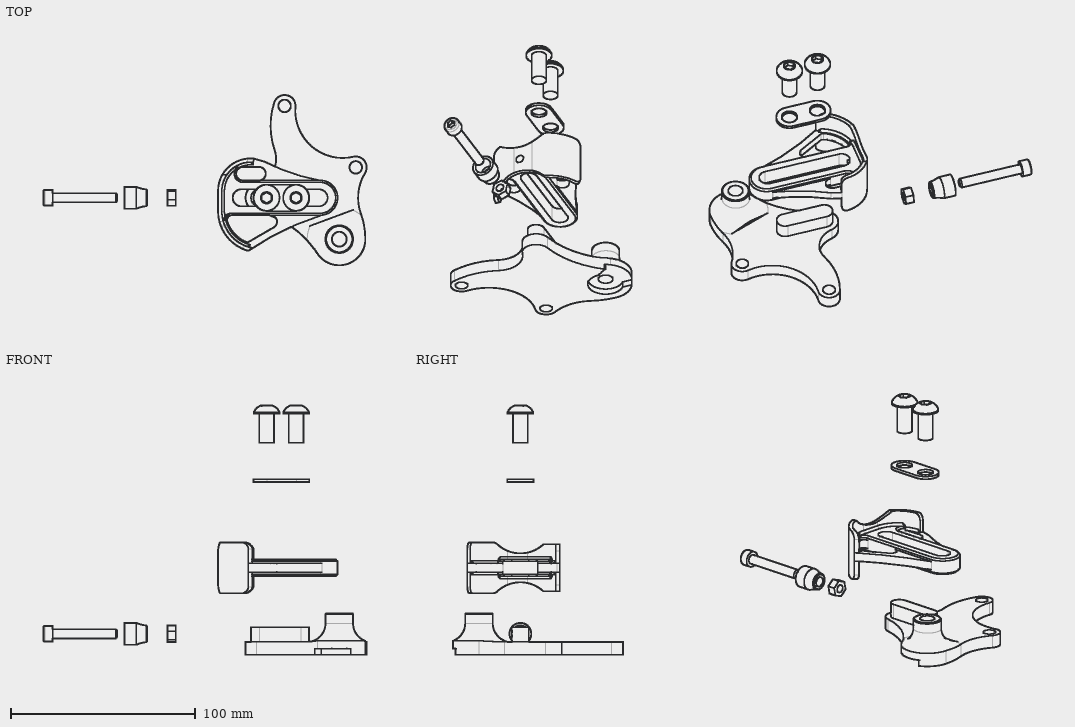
import cadquery as cq
import math

boss_x, boss_y = 160.1, -22.4
arm_mid_z = 47.0
bolt_z = 11.4

plate_thickness = 7.0
ear_radius = 6.0
ear_hole_diameter = 6.6
upper_ear = (130.5, 49.7)
side_ear = (169.0, 16.5)
pad_lobe_center = (116.9, 0.0)
pad_lobe_radius = 7.5
boss_lobe_radius = 14.2
crotch_radius = 25.5
side_arc_radius = 40.6
armpit_radius = 14.2
front_arc_radius = 52.5
back_arc_angle = 162.0

pad_center_x = 128.1
pad_length = 31.5
pad_width = 9.1
pad_top_z = 15.0

boss_top_z = 22.5
boss_radius = 7.5
boss_bore_diameter = 7.9
boss_edge_chamfer = 0.5
flare_radius = 10.0
flare_clip_angle = 20.4
flare_clip_distance = 12.2

recess_depth = 3.3
recess_radius = 9.6
recess_left_x, recess_left_y = 146.8, -27.3
recess_left_inner_x = 150.5
recess_right_x = 166.2

bar_thickness = 9.1
bar_radius = 9.5
bar_end_x = 149.8
bar_chamfer = 1.0
web_thickness = 4.7
slot_width = 9.1
slot_left_x, slot_right_x = 102.5, 153.8
bar_upper_root_angle, bar_lower_root_angle = 120.0, 194.0
bar_lower_root_x = 101.5
bar_upper_root_end_angle = 130.0
web_upper_bend, web_upper_middle, web_upper_end = (119.7, 19.6), (134.4, 13.3), (149.3, 9.5)
web_lower_middle, web_lower_end = (134.4, -15.5), (151.0, -9.3)

wall_left_x = 94.5
wall_thickness = 2.1
upper_wall_radius, lower_wall_radius = 17.7, 22.4
upper_wall_y, lower_wall_y = 3.7, -7.2
upper_wall_center = (wall_left_x + upper_wall_radius, upper_wall_y)
lower_wall_center = (wall_left_x + lower_wall_radius, lower_wall_y)
upper_tip_angle, lower_tip_angle = 84.5, 254.5
lower_tip_inner_angle = 259.0
upper_wall_height, lower_wall_height = 25.5, 27.6
wall_corner_radius = 3.5
waist_height = 15.8
waist_radius = 18.4
waist_shoulder_radius = 3.5
wall_root_size = 1.4
cable_hole_diameter = 4.4

upper_window_left_x, upper_window_right_x = 108.0, 116.7
upper_window_width = 7.2
lower_window_radius = 18.2
lower_window_apex_x = 136.0
lower_window_slope = 30.0
lower_window_nose_radius = 3.5
lower_window_upper_radius = 2.6
lower_window_lower_radius = 1.8

screw_mid_x = 128.8
screw_spacing = 16.0
screw_tip_z = 114.6
screw_shank_diameter = 8.0
screw_shank_length = 16.0
screw_head_diameter = 14.0
screw_head_height = 4.4
screw_rim_height = 0.7
screw_crown_radius = 3.2
screw_dome_middle_radius, screw_dome_middle_height = 5.5, 3.0
screw_socket_size = 5.0
screw_socket_depth = 2.6

washer_bottom_z = 93.5
washer_thickness = 1.5
washer_width = 14.4
washer_hole_diameter = 8.4

bolt_head_diameter = 8.5
bolt_head_length = 5.0
bolt_head_fillet = 0.9
bolt_shank_diameter = 5.0
bolt_shank_length = 35.0
bolt_tip_chamfer = 0.9
bolt_socket_size = 4.0
bolt_socket_depth = 2.5

sleeve_x = 44.0
sleeve_length = 12.2
sleeve_radius = 6.0
sleeve_barrel_length = 6.5
sleeve_nose_radius = 4.5
sleeve_taper_middle_x, sleeve_taper_middle_radius = 9.0, 5.0
sleeve_nose_chamfer = 0.5
sleeve_bore_diameter = 8.8
sleeve_bore_depth = 7.9
sleeve_bolt_hole_diameter = 5.2

nut_x = 67.2
nut_thickness = 4.5
nut_size = 8.0
nut_hole_diameter = 4.2
nut_turn_angle = 12.0

hexagon_corner_ratio = 1 / math.cos(math.radians(30))


def polar(center, radius, angle):
    """The point at a radius and an angle in degrees from a center."""
    a = math.radians(angle)
    return (center[0] + radius * math.cos(a), center[1] + radius * math.sin(a))


def touch_point(first, second):
    """The point where two tangent circles meet."""
    (x1, y1), r1 = first
    (x2, y2), r2 = second
    share = r1 / (r1 - r2)
    return (x1 + (x2 - x1) * share, y1 + (y2 - y1) * share)


def tangent_circle(radius, first, second):
    """The circle tangent to two others, with its center to the right of first -> second."""
    (x1, y1), r1 = first
    (x2, y2), r2 = second
    d1, d2 = abs(r1 - radius), abs(r2 - radius)
    gap = math.hypot(x2 - x1, y2 - y1)
    along = (d1**2 - d2**2 + gap**2) / (2 * gap)
    aside = math.sqrt(d1**2 - along**2)
    ux, uy = (x2 - x1) / gap, (y2 - y1) / gap
    return ((x1 + along * ux + aside * uy, y1 + along * uy - aside * ux), radius)


def arc_middle(circle, start, end):
    """The middle of the shorter arc of a circle between two of its points."""
    (cx, cy), radius = circle
    dx, dy = start[0] + end[0] - 2 * cx, start[1] + end[1] - 2 * cy
    reach = abs(radius) / math.hypot(dx, dy)
    return (cx + dx * reach, cy + dy * reach)


def plate_outline(height):
    """The plate's smooth outline of tangent arcs, extruded up from Z = 0."""
    ear_top = (upper_ear, ear_radius)
    ear_side = (side_ear, ear_radius)
    pad_lobe = (pad_lobe_center, pad_lobe_radius)
    boss_lobe = ((boss_x, boss_y), boss_lobe_radius)
    back = (polar(upper_ear, ear_radius - side_arc_radius, back_arc_angle), side_arc_radius)
    flank = ((boss_x + boss_lobe_radius - side_arc_radius, boss_y), side_arc_radius)
    circles = [
        ear_top,
        back,
        tangent_circle(-armpit_radius, back, pad_lobe),
        pad_lobe,
        tangent_circle(-front_arc_radius, pad_lobe, boss_lobe),
        boss_lobe,
        flank,
        tangent_circle(-crotch_radius, flank, ear_side),
        ear_side,
        tangent_circle(-crotch_radius, ear_side, ear_top),
    ]
    outline = cq.Workplane("XY").moveTo(*touch_point(circles[-1], circles[0]))
    for i, circle in enumerate(circles):
        start = touch_point(circles[i - 1], circle)
        end = touch_point(circle, circles[(i + 1) % len(circles)])
        outline = outline.threePointArc(arc_middle(circle, start, end), end)
    return outline.close().extrude(height)


def boss_flare():
    """The hollow-sided foot of the boss, kept on the plate and cut straight beside the arm."""
    foot_radius = boss_radius + flare_radius
    flare_top_z = plate_thickness + flare_radius
    bend = polar((foot_radius, flare_top_z), flare_radius, 225)
    foot = (
        cq.Workplane("XZ")
        .lineTo(foot_radius, 0)
        .lineTo(foot_radius, plate_thickness)
        .threePointArc(bend, (boss_radius, flare_top_z))
        .lineTo(0, flare_top_z)
        .close()
        .revolve(360, (0, 0, 0), (0, 1, 0))
    )
    clip_size = 4 * foot_radius
    clip = (
        cq.Workplane("XY")
        .center(0, flare_clip_distance - clip_size / 2)
        .rect(clip_size, clip_size)
        .extrude(boss_top_z)
        .rotate((0, 0, 0), (0, 0, 1), flare_clip_angle)
    )
    foot = foot.intersect(clip).translate((boss_x, boss_y, 0))
    return foot.intersect(plate_outline(boss_top_z))


def boss_recess():
    """The round recess under the boss, with its opening through the plate's front edge."""
    edge_y = boss_y - boss_lobe_radius
    opening = (
        cq.Workplane("XY")
        .moveTo(recess_left_inner_x, boss_y)
        .lineTo(recess_right_x, boss_y)
        .lineTo(recess_right_x, edge_y)
        .lineTo(recess_left_x, edge_y)
        .lineTo(recess_left_x, recess_left_y)
        .close()
        .extrude(recess_depth)
    )
    bore = cq.Workplane("XY").center(boss_x, boss_y).circle(recess_radius).extrude(recess_depth)
    return bore.union(opening)


def make_base_plate():
    plate = plate_outline(plate_thickness)
    pad = (
        cq.Workplane("XY")
        .center(pad_center_x, 0)
        .slot2D(pad_length, pad_width)
        .extrude(pad_top_z)
    )
    boss = (
        cq.Workplane("XY")
        .center(boss_x, boss_y)
        .circle(boss_radius)
        .extrude(boss_top_z)
        .faces(">Z")
        .chamfer(boss_edge_chamfer)
    )
    plate = plate.union(pad).union(boss_flare()).union(boss)
    ear_holes = (
        cq.Workplane("XY")
        .pushPoints([upper_ear, side_ear])
        .circle(ear_hole_diameter / 2)
        .extrude(plate_thickness)
    )
    boss_bore = (
        cq.Workplane("XY")
        .center(boss_x, boss_y)
        .circle(boss_bore_diameter / 2)
        .extrude(boss_top_z)
    )
    return plate.cut(ear_holes).cut(boss_bore).cut(boss_recess())


def wall_curve(sketch, inset, upper_angle, lower_angle):
    """Adds the cradle's curve, moved inward by the inset, from its upper to its lower end."""
    upper_radius, lower_radius = upper_wall_radius - inset, lower_wall_radius - inset
    wall_x = wall_left_x + inset
    return (
        sketch.lineTo(*polar(upper_wall_center, upper_radius, upper_angle))
        .threePointArc(
            polar(upper_wall_center, upper_radius, (180 + upper_angle) / 2), (wall_x, upper_wall_y)
        )
        .lineTo(wall_x, lower_wall_y)
        .threePointArc(
            polar(lower_wall_center, lower_radius, (180 + lower_angle) / 2),
            polar(lower_wall_center, lower_radius, lower_angle),
        )
    )


def centered_extrude(outline, height):
    """Extrudes a flat outline by equal amounts above and below the arm's middle plane."""
    return outline.extrude(height / 2, both=True).translate((0, 0, arm_mid_z))


def cradle_side_profile():
    """The wall's outline along X: tall ends, and a waist hollowed from above and below."""
    depth = 2 * lower_wall_radius
    upper_side = cq.Workplane("XY").rect(depth, depth, centered=False)
    lower_side = cq.Workplane("XY").center(0, -depth).rect(depth, depth, centered=False)
    profile = centered_extrude(upper_side, upper_wall_height)
    profile = profile.union(centered_extrude(lower_side, lower_wall_height)).translate((wall_left_x, 0, 0))
    rise = waist_height / 2 + waist_radius
    waists = (
        cq.Workplane("YZ", origin=(wall_left_x, 0, arm_mid_z))
        .pushPoints([(0, rise), (0, -rise)])
        .circle(waist_radius)
        .extrude(depth)
    )
    profile = profile.cut(waists)
    shoulder_y = -math.sqrt(waist_radius**2 - (rise - lower_wall_height / 2) ** 2)
    for side in (1, -1):
        shoulder = (wall_left_x + depth / 2, shoulder_y, arm_mid_z + side * lower_wall_height / 2)
        profile = profile.edges(cq.selectors.NearestToPointSelector(shoulder)).fillet(waist_shoulder_radius)
    return profile


def cradle_band(thickness, height, upper_angle, lower_angle, lower_inner_angle):
    """A band of even thickness along the cradle's curve, centered on the arm's middle plane."""
    inner_lower_end = polar(lower_wall_center, lower_wall_radius - thickness, lower_inner_angle)
    inner_upper_end = polar(upper_wall_center, upper_wall_radius - thickness, upper_angle)
    outer_lower_end = polar(lower_wall_center, lower_wall_radius, lower_angle)
    outer = cq.Workplane("XY").moveTo(*outer_lower_end).lineTo(*inner_lower_end).lineTo(*inner_upper_end)
    outer = wall_curve(outer, 0, upper_angle, lower_angle).close()
    inner = cq.Workplane("XY").moveTo(*inner_lower_end)
    inner = wall_curve(inner, thickness, upper_angle, lower_inner_angle).close()
    return centered_extrude(outer, height).cut(centered_extrude(inner, height))


def cradle_wall():
    """The curved wall, shaped to the side profile and rounded at the corners of both tips."""
    wall = cradle_band(
        wall_thickness, lower_wall_height, upper_tip_angle, lower_tip_angle, lower_tip_inner_angle
    ).intersect(cradle_side_profile())
    upper_tip = polar(upper_wall_center, upper_wall_radius - wall_thickness, upper_tip_angle)
    lower_tip = polar(lower_wall_center, lower_wall_radius - wall_thickness, lower_tip_inner_angle)
    for x, y in (upper_tip, lower_tip):
        end_face = cq.selectors.NearestToPointSelector((x, y, arm_mid_z))
        wall = wall.faces(end_face).edges("#Z").fillet(wall_corner_radius)
    return wall


def wall_root(arm_thickness, upper_angle, lower_angle):
    """The sloping root along the inside of the wall, above and below the bar or the web."""
    height = arm_thickness + 2 * wall_root_size
    band = cradle_band(wall_thickness + wall_root_size, height, upper_angle, lower_angle, lower_angle)
    return band.faces("<Z or >Z").chamfer(wall_root_size)


def arm_web():
    lower_tip = polar(lower_wall_center, lower_wall_radius, lower_tip_angle)
    outline = (
        cq.Workplane("XY")
        .moveTo(*lower_tip)
        .threePointArc(web_lower_middle, web_lower_end)
        .lineTo(*web_upper_end)
        .threePointArc(web_upper_middle, web_upper_bend)
    )
    outline = wall_curve(outline, 0, upper_tip_angle, lower_tip_angle).close()
    return centered_extrude(outline, web_thickness)


def arm_bar():
    """The thick bar round the slot, its root spreading into the cradle wall at both windows."""
    upper_window_radius = upper_window_width / 2
    upper_window_center = (upper_window_left_x, bar_radius + upper_window_radius)
    lower_root_center = (bar_lower_root_x, -bar_radius - lower_window_upper_radius)
    outline = (
        cq.Workplane("XY")
        .moveTo(*polar(lower_root_center, lower_window_upper_radius, 180))
        .threePointArc(
            polar(lower_root_center, lower_window_upper_radius, 135),
            polar(lower_root_center, lower_window_upper_radius, 90),
        )
        .lineTo(bar_end_x, -bar_radius)
        .threePointArc((bar_end_x + bar_radius, 0), (bar_end_x, bar_radius))
        .lineTo(upper_window_left_x, bar_radius)
        .threePointArc(
            polar(upper_window_center, upper_window_radius, (270 + bar_upper_root_end_angle) / 2),
            polar(upper_window_center, upper_window_radius, bar_upper_root_end_angle),
        )
    )
    outline = wall_curve(outline, 0, bar_upper_root_angle, bar_lower_root_angle).close()
    return centered_extrude(outline, bar_thickness).faces("<Z or >Z").chamfer(bar_chamfer)


def slot_cutter(left_x, right_x, y, width):
    """A round-ended slot through the arm, from its leftmost to its rightmost point."""
    outline = cq.Workplane("XY").center((left_x + right_x) / 2, y).slot2D(right_x - left_x, width)
    return centered_extrude(outline, lower_wall_height)


def lower_window():
    """The rounded opening between the bar, the cradle and the lower web's sloping edge."""
    apex = (lower_window_apex_x, -bar_radius)
    run = lower_window_apex_x - wall_left_x
    wedge = (
        cq.Workplane("XY")
        .moveTo(*apex)
        .lineTo(wall_left_x, -bar_radius)
        .lineTo(wall_left_x, -bar_radius - run * math.tan(math.radians(lower_window_slope)))
        .close()
    )
    disc = cq.Workplane("XY").center(*lower_wall_center).circle(lower_window_radius)
    wedge = centered_extrude(wedge, lower_wall_height).edges("|Z and >X").fillet(lower_window_nose_radius)
    window = centered_extrude(disc, lower_wall_height).intersect(wedge)
    window = window.edges("|Z and <X").fillet(lower_window_upper_radius)
    return window.edges("|Z and <Y").fillet(lower_window_lower_radius)


def make_cradle_arm():
    half_width = upper_window_width / 2
    upper_window_y = bar_radius + half_width
    upper_window = slot_cutter(
        upper_window_left_x - half_width,
        upper_window_right_x + half_width,
        upper_window_y,
        upper_window_width,
    )
    cable_hole = (
        cq.Workplane("YZ", origin=(wall_left_x, 0, arm_mid_z))
        .circle(cable_hole_diameter / 2)
        .extrude(slot_left_x + slot_width / 2 - wall_left_x)
    )
    web_root = wall_root(web_thickness, upper_tip_angle, lower_tip_angle)
    bar_root = wall_root(bar_thickness, bar_upper_root_angle, bar_lower_root_angle)
    web = arm_web().union(web_root).cut(lower_window()).cut(upper_window)
    arm = web.union(arm_bar()).union(bar_root).union(cradle_wall())
    return arm.cut(slot_cutter(slot_left_x, slot_right_x, 0, slot_width)).cut(cable_hole)


def make_clamp_screw(x):
    crown_z = screw_shank_length + screw_head_height
    rim_z = screw_shank_length + screw_rim_height
    head_radius = screw_head_diameter / 2
    dome_middle = (screw_dome_middle_radius, screw_shank_length + screw_dome_middle_height)
    screw = (
        cq.Workplane("XZ")
        .lineTo(screw_shank_diameter / 2, 0)
        .lineTo(screw_shank_diameter / 2, screw_shank_length)
        .lineTo(head_radius, screw_shank_length)
        .lineTo(head_radius, rim_z)
        .threePointArc(dome_middle, (screw_crown_radius, crown_z))
        .lineTo(0, crown_z)
        .close()
        .revolve(360, (0, 0, 0), (0, 1, 0))
    )
    socket = (
        cq.Workplane("XY", origin=(0, 0, crown_z - screw_socket_depth))
        .polygon(6, screw_socket_size * hexagon_corner_ratio)
        .extrude(screw_socket_depth)
        .rotate((0, 0, 0), (0, 0, 1), 90)
    )
    return screw.cut(socket).translate((x, 0, screw_tip_z))


def make_washer_plate(hole_xs):
    washer = cq.Workplane("XY").slot2D(screw_spacing + washer_width, washer_width).extrude(washer_thickness)
    washer = washer.translate((screw_mid_x, 0, washer_bottom_z))
    holes = (
        cq.Workplane("XY", origin=(0, 0, washer_bottom_z))
        .pushPoints([(x, 0) for x in hole_xs])
        .circle(washer_hole_diameter / 2)
        .extrude(washer_thickness)
    )
    return washer.cut(holes)


def make_cable_bolt():
    head = cq.Workplane("YZ").circle(bolt_head_diameter / 2).extrude(bolt_head_length)
    head = head.faces("<X").edges().fillet(bolt_head_fillet)
    shank = (
        cq.Workplane("YZ")
        .circle(bolt_shank_diameter / 2)
        .extrude(bolt_head_length + bolt_shank_length)
        .faces(">X")
        .chamfer(bolt_tip_chamfer)
    )
    socket = (
        cq.Workplane("YZ")
        .polygon(6, bolt_socket_size * hexagon_corner_ratio)
        .extrude(bolt_socket_depth)
        .rotate((0, 0, 0), (1, 0, 0), 90)
    )
    bolt = head.union(shank).cut(socket)
    return bolt.translate((0, 0, bolt_z))


def make_sleeve():
    body = (
        cq.Workplane("XY")
        .lineTo(0, sleeve_radius)
        .lineTo(sleeve_barrel_length, sleeve_radius)
        .threePointArc(
            (sleeve_taper_middle_x, sleeve_taper_middle_radius),
            (sleeve_length, sleeve_nose_radius),
        )
        .lineTo(sleeve_length, 0)
        .close()
        .revolve(360, (0, 0, 0), (1, 0, 0))
        .faces(">X")
        .chamfer(sleeve_nose_chamfer)
    )
    bore = cq.Workplane("YZ").circle(sleeve_bore_diameter / 2).extrude(sleeve_bore_depth)
    bolt_hole = cq.Workplane("YZ").circle(sleeve_bolt_hole_diameter / 2).extrude(sleeve_length)
    return body.cut(bore).cut(bolt_hole).translate((sleeve_x, 0, bolt_z))


def make_nut():
    body = cq.Workplane("YZ").polygon(6, nut_size * hexagon_corner_ratio).extrude(nut_thickness)
    hole = cq.Workplane("YZ").circle(nut_hole_diameter / 2).extrude(nut_thickness)
    nut = body.cut(hole).rotate((0, 0, 0), (1, 0, 0), 90 + nut_turn_angle)
    return nut.translate((nut_x, 0, bolt_z))


screw_xs = [screw_mid_x - screw_spacing / 2, screw_mid_x + screw_spacing / 2]
base_plate = make_base_plate()
cradle_arm = make_cradle_arm()
clamp_screws = [make_clamp_screw(x) for x in screw_xs]
washer_plate = make_washer_plate(screw_xs)
cable_bolt = make_cable_bolt()
sleeve = make_sleeve()
nut = make_nut()

result = cq.Compound.makeCompound(
    [
        base_plate.solids().val(),
        cradle_arm.solids().val(),
        *[screw.solids().val() for screw in clamp_screws],
        washer_plate.solids().val(),
        cable_bolt.solids().val(),
        sleeve.solids().val(),
        nut.solids().val(),
    ]
)